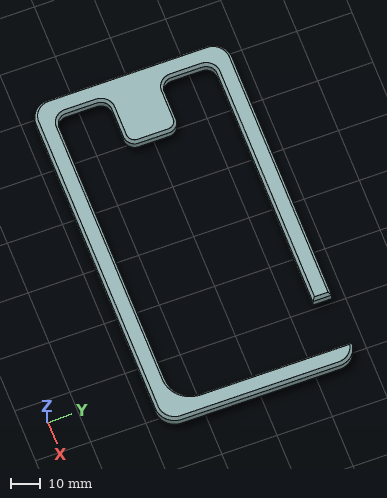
import cadquery as cq

length = 128.6
width = 71.1
thickness = 4.0

bar_width = 7.0
outer_radius = bar_width
pocket_radius = 4.0
large_pocket_radius = 9.0
top_chamfer = 1.0

tab_reach = 26.1
tab_width = 19.0
tab_radius = 4.0

gap_start = 38.5
gap_end = length / 2 - bar_width

inner_length = length - 2 * bar_width
inner_width = width - 2 * bar_width
inner_left = -inner_length / 2
inner_right = inner_length / 2
inner_front = -inner_width / 2
inner_back = inner_width / 2
tab_end = -length / 2 + tab_reach


def block(x_min, x_max, y_min, y_max):
    """Rectangular block of full thickness standing on Z = 0."""
    return (
        cq.Workplane("XY")
        .box(x_max - x_min, y_max - y_min, thickness, centered=False)
        .translate((x_min, y_min, 0))
    )


def upright_edges_at(x, y_places):
    """Selector for the vertical edges at one X and several Y places."""
    reach = 0.1
    selector = None
    for y in y_places:
        corner = cq.selectors.BoxSelector(
            (x - reach, y - reach, 0), (x + reach, y + reach, thickness)
        )
        selector = corner if selector is None else selector + corner
    return selector


def make_outer_plate():
    plate = block(-length / 2, length / 2, -width / 2, width / 2)
    return plate.edges("|Z").fillet(outer_radius)


def make_window():
    """Inner opening of the frame, notched around the tab."""
    window = block(inner_left, inner_right, inner_front, inner_back)
    window = window.cut(block(inner_left, tab_end, -tab_width / 2, tab_width / 2))
    small_corners = [inner_front, -tab_width / 2, tab_width / 2, inner_back]
    window = window.edges(upright_edges_at(inner_left, small_corners)).fillet(pocket_radius)
    tab_corners = [-tab_width / 2, tab_width / 2]
    window = window.edges(upright_edges_at(tab_end, tab_corners)).fillet(tab_radius)
    return window.edges(upright_edges_at(inner_right, [inner_front])).fillet(large_pocket_radius)


gap = block(gap_start, gap_end, inner_back, width / 2)

frame = make_outer_plate().cut(make_window()).cut(gap)
result = frame.faces(">Z").edges().chamfer(top_chamfer)